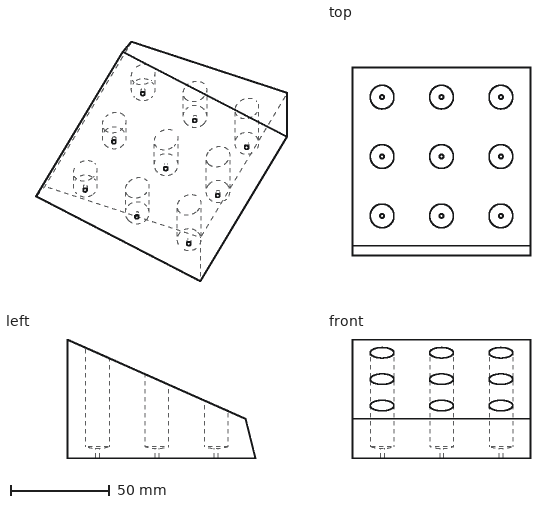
import cadquery as cq

WIDTH = 90.0
BASE_LENGTH = 95.0
TOP_LENGTH = 90.0
BACK_HEIGHT = 60.0
FRONT_HEIGHT = 20.0

HOLES_PER_SIDE = 3
PITCH = 30.0
FIRST_HOLE_INSET = 15.0
SOCKET_DIAMETER = 12.0
SEAT_DIAMETER = 4.0
DRAIN_DIAMETER = 2.0
SEAT_HEIGHT = 5.0
CONE_HEIGHT = 1.0


def wedge_block():
    """Side profile in YZ, extruded symmetrically along X."""
    front_edge_y = BASE_LENGTH - TOP_LENGTH
    return (
        cq.Workplane("YZ")
        .moveTo(0, 0)
        .lineTo(BASE_LENGTH, 0)
        .lineTo(BASE_LENGTH, BACK_HEIGHT)
        .lineTo(front_edge_y, FRONT_HEIGHT)
        .close()
        .extrude(WIDTH / 2, both=True)
    )


def hole_cutter():
    """Half section of one hole revolved about Z: drain, flat seat, cone and socket."""
    drain_radius = DRAIN_DIAMETER / 2
    seat_radius = SEAT_DIAMETER / 2
    socket_radius = SOCKET_DIAMETER / 2
    return (
        cq.Workplane("XZ")
        .moveTo(0, 0)
        .lineTo(drain_radius, 0)
        .lineTo(drain_radius, SEAT_HEIGHT)
        .lineTo(seat_radius, SEAT_HEIGHT)
        .lineTo(socket_radius, SEAT_HEIGHT + CONE_HEIGHT)
        .lineTo(socket_radius, BACK_HEIGHT)
        .lineTo(0, BACK_HEIGHT)
        .close()
        .revolve(360, (0, 0, 0), (0, 1, 0))
    )


def hole_centers():
    """Square grid, centred in X and measured from the back face in Y."""
    first_x = -PITCH * (HOLES_PER_SIDE - 1) / 2
    last_y = BASE_LENGTH - FIRST_HOLE_INSET
    return [
        (first_x + column * PITCH, last_y - row * PITCH)
        for row in range(HOLES_PER_SIDE)
        for column in range(HOLES_PER_SIDE)
    ]


result = wedge_block()
for x, y in hole_centers():
    result = result.cut(hole_cutter().translate((x, y, 0)))